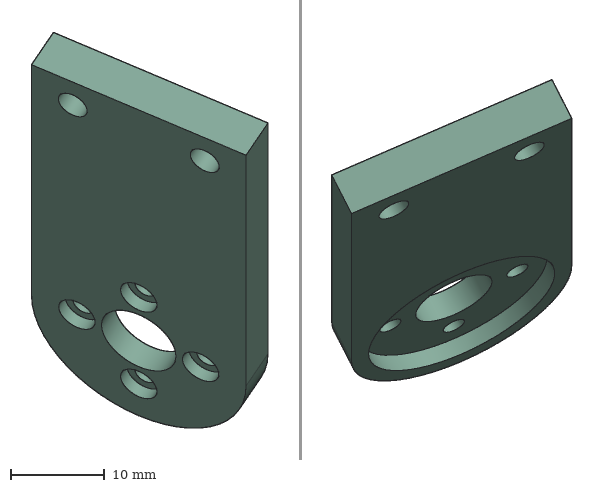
import cadquery as cq

height = 53.0
width = 26.0
thickness = 5.0
end_radius = width / 2
top_z = height - end_radius

bore_diameter = 9.0
screw_circle_diameter = 15.0
screw_count = 4
screw_hole_diameter = 2.5
counterbore_diameter = 4.4
counterbore_depth = 1.5

web_thickness = 3.0
recess_diameter = 22.0

mount_hole_diameter = 3.5
mount_hole_spacing = 16.0
mount_hole_edge_distance = 4.0


def make_plate():
    """Plate with its front face on Y = 0 and its back face on +Y."""
    return (
        cq.Workplane("XZ")
        .moveTo(-end_radius, top_z)
        .lineTo(-end_radius, 0)
        .threePointArc((0, -end_radius), (end_radius, 0))
        .lineTo(end_radius, top_z)
        .close()
        .extrude(-thickness)
    )


def front_plane():
    """Workplane on the front face, with its normal pointing out of the part."""
    return cq.Workplane("XZ")


def cut_bore(body):
    bore = front_plane().circle(bore_diameter / 2).extrude(-thickness)
    return body.cut(bore)


def cut_back_recess(body):
    recess_depth = thickness - web_thickness
    recess = (
        front_plane()
        .workplane(offset=-web_thickness)
        .circle(recess_diameter / 2)
        .extrude(-recess_depth)
    )
    return body.cut(recess)


def cut_screw_holes(body):
    ring = front_plane().polarArray(screw_circle_diameter / 2, 0, 360, screw_count)
    holes = ring.circle(screw_hole_diameter / 2).extrude(-thickness)
    ring = front_plane().polarArray(screw_circle_diameter / 2, 0, 360, screw_count)
    counterbores = ring.circle(counterbore_diameter / 2).extrude(-counterbore_depth)
    return body.cut(holes).cut(counterbores)


def cut_mount_holes(body):
    hole_z = top_z - mount_hole_edge_distance
    half_spacing = mount_hole_spacing / 2
    holes = (
        front_plane()
        .pushPoints([(-half_spacing, hole_z), (half_spacing, hole_z)])
        .circle(mount_hole_diameter / 2)
        .extrude(-thickness)
    )
    return body.cut(holes)


plate = make_plate()
plate = cut_bore(plate)
plate = cut_back_recess(plate)
plate = cut_screw_holes(plate)
result = cut_mount_holes(plate)